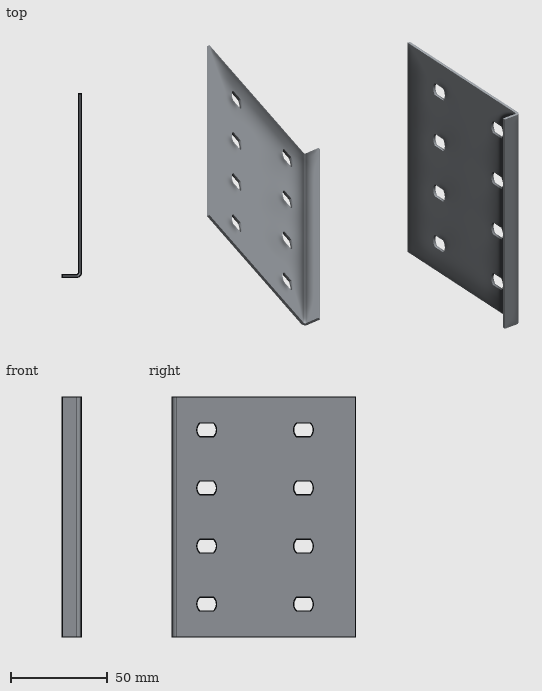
import cadquery as cq

flange_width = 10.0
plate_width = 95.0
height = 124.0
thickness = 1.5
inner_bend_radius = 1.0
outer_bend_radius = inner_bend_radius + thickness

hole_length = 10.0
hole_height = 7.0
hole_rows = 4
row_pitch = 30.0
column_pitch = 50.0
first_column_offset = 18.0

column_positions = [first_column_offset, first_column_offset + column_pitch]
first_row = (height - (hole_rows - 1) * row_pitch) / 2
row_positions = [first_row + row * row_pitch for row in range(hole_rows)]


def make_bent_sheet():
    """L-shaped sheet with concentric bend radii, standing along Z."""
    plate = cq.Workplane("XY").box(thickness, plate_width, height, centered=False)
    plate = plate.translate((-thickness, 0, 0))
    flange = cq.Workplane("XY").box(flange_width, thickness, height, centered=False)
    flange = flange.translate((-flange_width, 0, 0))
    inner_corner = cq.selectors.NearestToPointSelector((-thickness, thickness, height / 2))
    outer_corner = cq.selectors.NearestToPointSelector((0, 0, height / 2))
    sheet = plate.union(flange)
    sheet = sheet.edges("|Z").edges(inner_corner).fillet(inner_bend_radius)
    return sheet.edges("|Z").edges(outer_corner).fillet(outer_bend_radius)


def make_hole_cutter(y, z):
    """Flattened cylinder through the plate, centred at the given Y and Z."""
    cylinder = cq.Workplane("YZ").circle(hole_length / 2).extrude(-thickness)
    flats = cq.Workplane("YZ").rect(hole_length, hole_height).extrude(-thickness)
    return cylinder.intersect(flats).translate((0, y, z))


result = make_bent_sheet()
for column in column_positions:
    for row in row_positions:
        result = result.cut(make_hole_cutter(column, row))